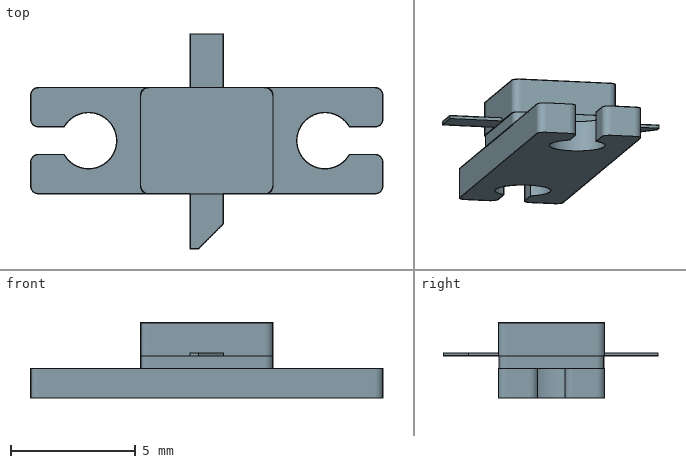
import cadquery as cq

flange_length = 14.15
flange_depth = 4.27
flange_thickness = 1.2
corner_radius = 0.31

hole_diameter = 2.25
hole_spacing = 9.5
slot_width = 1.1

lid_length = 5.32
lid_depth = flange_depth
lid_height = 1.35
frame_length = 5.3
frame_depth = 4.22
frame_height = 0.5

lead_width = 1.35
lead_thickness = 0.13
back_lead_end = 4.29
front_lead_end = -4.35
lead_chamfer = 1.0

frame_bottom = flange_thickness
lid_bottom = frame_bottom + frame_height


def rounded_block(length, depth, height, bottom):
    """Block centred on the Z axis with rounded upright edges."""
    return (
        cq.Workplane("XY")
        .workplane(offset=bottom)
        .rect(length, depth)
        .extrude(height)
        .edges("|Z")
        .fillet(corner_radius)
    )


def make_flange():
    """Flange with open slots whose mouths are rounded, each ending in a round hole."""
    slot_length = (flange_length - hole_spacing) / 2
    slot_centre = (flange_length + hole_spacing) / 4
    blank = cq.Workplane("XY").rect(flange_length, flange_depth).extrude(flange_thickness)
    slots = (
        cq.Workplane("XY")
        .pushPoints([(-slot_centre, 0), (slot_centre, 0)])
        .rect(slot_length, slot_width)
        .extrude(flange_thickness)
    )
    holes = (
        cq.Workplane("XY")
        .pushPoints([(-hole_spacing / 2, 0), (hole_spacing / 2, 0)])
        .circle(hole_diameter / 2)
        .extrude(flange_thickness)
    )
    slotted = blank.cut(slots)
    rounded = slotted.edges("|Z and (<X or >X)").fillet(corner_radius)
    return rounded.cut(holes)


def make_leads():
    """One strip through the body, with a bevelled corner on its front end."""
    half_width = lead_width / 2
    return (
        cq.Workplane("XY")
        .workplane(offset=lid_bottom)
        .moveTo(-half_width, back_lead_end)
        .lineTo(half_width, back_lead_end)
        .lineTo(half_width, front_lead_end + lead_chamfer)
        .lineTo(half_width - lead_chamfer, front_lead_end)
        .lineTo(-half_width, front_lead_end)
        .close()
        .extrude(lead_thickness)
    )


frame = rounded_block(
    frame_length,
    frame_depth,
    frame_height,
    frame_bottom,
)
lid = rounded_block(lid_length, lid_depth, lid_height, lid_bottom)

result = make_flange().union(frame).union(lid).union(make_leads())